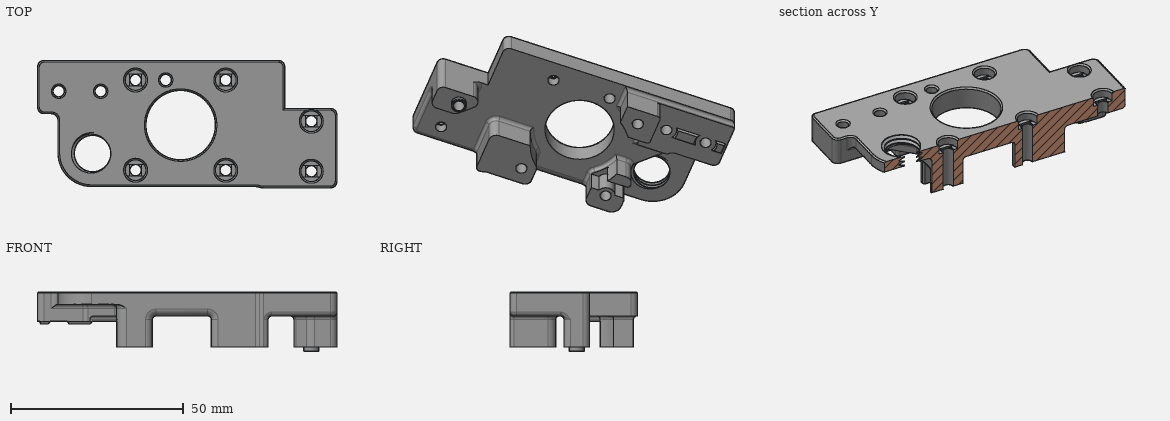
import cadquery as cq
import math

LENGTH = 86.7
WIDTH = 36.9
TOP_Z = 16.0
CEILING_Z = 9.0
FLAP_Z = 12.4
BLOCK_Z = 7.45
BELOW = -4.3
MARGIN = 8.7
OVERLAP = 0.1
TOLERANCE = 0.01

CORNER_R = 1.9
NOTCH_X = 71.6
NOTCH_Y = 23.05
BLOCK_FRONT_Y = 21.5
FLAP_X = 5.9
FLAP_R = 9.8
FRONT_Y = 0.39
JOG_START_X = 63.0
JOG_END_X = 65.35
EDGE_CHAMFER_HEIGHT = 0.5
EDGE_CHAMFER_WIDTH = 0.35

COVE_R = 1.0
FLAP_COVE_R = 1.2
LEG_LEFT_X = 22.9
LEG_LEFT_END_X = 33.3
LEG_RIGHT_X = 50.3
LEG_RIGHT_END_X = 66.7
FRONT_LEG_BACK_Y = 13.3
BACK_LEG_Y = 26.1
BACK_LEG_END_Y = 35.7
INNER_LEG_R = 2.25
BACK_LEG_R = 1.0
BLOCK_CAVITY_Y = 20.4
BLOCK_END_X = 24.4
FRONT_EDGE_R = 2.0
END_EDGE_R = 1.1
FLAP_SLANT_SUM = 35.5
FLAP_BEND_R = 2.0
LEG_CORNER_R = 2.95

FOOT_Y = 15.6
FOOT_SLANT_SUM = 94.4
FOOT_SMALL_R = 2.0
FOOT_LARGE_R = 3.2
PIN_D = 4.4
PIN_LENGTH = 1.3
PIN_CHAMFER = 0.3

BORE_X, BORE_Y = 41.4, 18.2
BORE_D = 20.0
BORE_CLEARANCE_R = 14.3
SCREW_PITCH = 26.1
HALF_PITCH = SCREW_PITCH / 2
END_SCREW_X = 79.2
END_SCREW_YS = (4.85, 19.3)
SCREW_D = 3.2
SCREW_RELIEF = 3.4
RELIEF_STEP = 0.3
SCREW_HEAD_D = 6.0
SCREW_HEAD_DEPTH = 2.8
PLAIN_D = 3.2
BLOCK_HOLE_XS = (6.15, 18.3)
BLOCK_HOLE_Y = 28.0
BACK_HOLE_X = 37.1
HOLE_CHAMFER = 0.48

THREAD_X, THREAD_Y = 15.95, 10.0
THREAD_MINOR_D = 10.5
THREAD_MAJOR_D = 12.2
THREAD_PITCH = 1.5
THREAD_FLANK_ANGLE = 30
THREAD_ROOT_WIDTH = THREAD_PITCH / 8
THREAD_TURNS = 5
THREAD_TURNS_TO_TOP = 3.5
DRILL_SEAM_ANGLE = 50

KEY_WIDTH = 3.5
KEY_TIP_WIDTH = 2.8
KEY_HEIGHT = 0.8
KEY_GAP_D = 6.0
KEY_START_X = 0.6

SLOT_Y = 6.2
SLOT_END_Y = 10.05
SLOT_TOP_Z = 7.5
SLOT_CHAMFER = 0.5
SLOT_MOUTH_R = 0.7
SLOT_POST_D = 5.5


def box(x0, x1, y0, y1, z0, z1):
    return cq.Workplane("XY").box(x1 - x0, y1 - y0, z1 - z0, centered=False).translate((x0, y0, z0))


def cylinder(x, y, diameter, z0, z1):
    return cq.Workplane("XY", origin=(x, y, z0)).circle(diameter / 2).extrude(z1 - z0)


def round_upright_edges(solid, radius, points):
    """Fillet the vertical edges that stand at the given (x, y) points."""
    def at_point(edge):
        c = edge.Center()
        return any(math.hypot(c.x - x, c.y - y) < TOLERANCE for x, y in points)
    edges = [e for e in solid.edges("|Z").vals() if at_point(e)]
    return solid.newObject(edges).fillet(radius)


def plate():
    arc_x = FLAP_X + FLAP_R
    arc_y = FRONT_Y + FLAP_R
    reach = FLAP_R * math.sqrt(0.5)
    jog_x = (JOG_START_X + JOG_END_X) / 2
    outline = (
        cq.Workplane("XY")
        .moveTo(0, WIDTH)
        .lineTo(NOTCH_X, WIDTH)
        .lineTo(NOTCH_X, NOTCH_Y)
        .lineTo(LENGTH, NOTCH_Y)
        .lineTo(LENGTH, 0)
        .lineTo(JOG_END_X, 0)
        .tangentArcPoint((jog_x, FRONT_Y / 2), relative=False)
        .tangentArcPoint((JOG_START_X, FRONT_Y), relative=False)
        .lineTo(arc_x, FRONT_Y)
        .threePointArc((arc_x - reach, arc_y - reach), (FLAP_X, arc_y))
        .lineTo(FLAP_X, BLOCK_FRONT_Y)
        .lineTo(0, BLOCK_FRONT_Y)
        .close()
    )
    body = outline.extrude(TOP_Z)
    rounded = [
        (0, WIDTH), (NOTCH_X, WIDTH), (LENGTH, NOTCH_Y), (LENGTH, 0),
        (FLAP_X, BLOCK_FRONT_Y), (0, BLOCK_FRONT_Y),
    ]
    body = round_upright_edges(body, CORNER_R, rounded)
    return body.faces(">Z").chamfer(EDGE_CHAMFER_WIDTH, EDGE_CHAMFER_HEIGHT)


def foot():
    slant_x = FOOT_SLANT_SUM - FOOT_Y
    tip_x = FOOT_SLANT_SUM - NOTCH_Y
    solid = (
        cq.Workplane("XY", origin=(0, 0, BELOW))
        .moveTo(tip_x, NOTCH_Y)
        .lineTo(slant_x, FOOT_Y)
        .lineTo(LENGTH, FOOT_Y)
        .lineTo(LENGTH, NOTCH_Y)
        .close()
        .extrude(CEILING_Z - BELOW)
    )
    solid = round_upright_edges(solid, CORNER_R, [(LENGTH, FOOT_Y)])
    solid = round_upright_edges(solid, FOOT_LARGE_R, [(slant_x, FOOT_Y)])
    return round_upright_edges(solid, FOOT_SMALL_R, [(tip_x, NOTCH_Y)])


def clearance_front_y(x):
    """Y of the front half of the round bore clearance at the given x."""
    return BORE_Y - math.sqrt(BORE_CLEARANCE_R**2 - (x - BORE_X) ** 2)


def leg_cavity():
    """Open space below the plate, flaring into a cove around everything left standing."""
    z = (BELOW, CEILING_Z)
    outside = 2 * MARGIN
    front_left = box(LEG_LEFT_X, LEG_LEFT_END_X, -outside, FRONT_LEG_BACK_Y, *z)
    front_left = round_upright_edges(front_left, INNER_LEG_R, [(LEG_LEFT_X, FRONT_LEG_BACK_Y)])
    front_right = box(LEG_RIGHT_X, LEG_RIGHT_END_X, -outside, FRONT_LEG_BACK_Y, *z)
    front_right = round_upright_edges(front_right, INNER_LEG_R, [(LEG_RIGHT_END_X, FRONT_LEG_BACK_Y)])
    block = box(-outside, BLOCK_END_X, BLOCK_CAVITY_Y, BACK_LEG_END_Y, *z)

    standing = front_left.union(front_right).union(back_left_leg()).union(block)
    standing = standing.cut(cylinder(BORE_X, BORE_Y, 2 * BORE_CLEARANCE_R, *z))
    inner_corners = [(x, clearance_front_y(x)) for x in (LEG_LEFT_END_X, LEG_RIGHT_X)]
    standing = round_upright_edges(standing, FRONT_EDGE_R, inner_corners).union(foot())
    cavity = box(-MARGIN, LENGTH + MARGIN, -MARGIN, WIDTH + MARGIN, *z).cut(standing)

    def is_wall_edge(edge):
        c = edge.Center()
        inside_x = -MARGIN + TOLERANCE < c.x < LENGTH + MARGIN - TOLERANCE
        inside_y = -MARGIN + TOLERANCE < c.y < WIDTH + MARGIN - TOLERANCE
        return inside_x and inside_y
    edges = [e for e in cavity.faces(">Z").edges().vals() if is_wall_edge(e)]
    return cavity.newObject(edges).fillet(COVE_R)


def back_left_leg():
    leg = box(LEG_LEFT_X, LEG_LEFT_END_X, BACK_LEG_Y, BACK_LEG_END_Y, BELOW, CEILING_Z)
    return round_upright_edges(leg, BACK_LEG_R, [(LEG_LEFT_X, BACK_LEG_Y), (LEG_LEFT_X, BACK_LEG_END_Y)])


def block_underside():
    """Space below the left block, up to the leg behind it."""
    space = box(-MARGIN, BLOCK_END_X, BLOCK_CAVITY_Y - OVERLAP, WIDTH, BELOW, BLOCK_Z)
    return space.cut(back_left_leg())


def flap_underside():
    """Space below the flap: block wall, 45 degree wall, then round the front-left leg."""
    solid = (
        cq.Workplane("XY", origin=(0, 0, BELOW))
        .moveTo(-MARGIN, BLOCK_FRONT_Y)
        .lineTo(FLAP_SLANT_SUM - BLOCK_FRONT_Y, BLOCK_FRONT_Y)
        .lineTo(LEG_LEFT_X, FLAP_SLANT_SUM - LEG_LEFT_X)
        .lineTo(LEG_LEFT_X, FRONT_Y + LEG_CORNER_R)
        .tangentArcPoint((LEG_LEFT_X + LEG_CORNER_R, FRONT_Y), relative=False)
        .lineTo(LEG_LEFT_X + LEG_CORNER_R, -MARGIN)
        .lineTo(-MARGIN, -MARGIN)
        .close()
        .extrude(FLAP_Z - BELOW)
    )
    bends = [(FLAP_SLANT_SUM - BLOCK_FRONT_Y, BLOCK_FRONT_Y), (LEG_LEFT_X, FLAP_SLANT_SUM - LEG_LEFT_X)]
    solid = round_upright_edges(solid, FLAP_BEND_R, bends)

    def is_wall_edge(edge):
        c = edge.Center()
        return c.x > -MARGIN + TOLERANCE and c.y > -MARGIN + TOLERANCE
    edges = [e for e in solid.faces(">Z").edges().vals() if is_wall_edge(e)]
    return solid.newObject(edges).fillet(FLAP_COVE_R)


def round_openings(body):
    """Round the outer edges of the front opening and of the right-end opening."""
    def below_plate(edge):
        return TOLERANCE < edge.Center().z < CEILING_Z + TOLERANCE

    def on_front(edge):
        b = edge.BoundingBox()
        between_legs = b.xmin > LEG_LEFT_END_X - TOLERANCE and b.xmax < LEG_RIGHT_X + TOLERANCE
        return between_legs and abs(b.ymax - FRONT_Y) < TOLERANCE

    def on_end(edge):
        b = edge.BoundingBox()
        front = b.ymax < TOLERANCE and b.xmin > LEG_RIGHT_END_X - TOLERANCE
        side = b.xmin > LENGTH - TOLERANCE and b.ymax < FOOT_Y + TOLERANCE
        corner = b.xmin > LENGTH - CORNER_R - TOLERANCE and b.ymax < CORNER_R + TOLERANCE
        return front or side or corner
    edges = [e for e in body.edges().vals() if below_plate(e)]
    body = body.newObject([e for e in edges if on_front(e)]).fillet(FRONT_EDGE_R)
    edges = [e for e in body.edges().vals() if below_plate(e)]
    return body.newObject([e for e in edges if on_end(e)]).fillet(END_EDGE_R)


def chamfered_hole(x, y, diameter, z0=BELOW):
    rim = diameter / 2 + HOLE_CHAMFER
    cone = cq.Solid.makeCone(
        diameter / 2, rim, HOLE_CHAMFER, pnt=cq.Vector(x, y, TOP_Z - HOLE_CHAMFER), dir=cq.Vector(0, 0, 1)
    )
    return cylinder(x, y, diameter, z0, TOP_Z).union(cq.Workplane(obj=cone))


def screw_hole(x, y):
    """Counterbored hole whose seat steps down to a strip, then a square, then the round hole."""
    seat_z = TOP_Z - SCREW_HEAD_DEPTH
    half = SCREW_RELIEF / 2
    head = chamfered_hole(x, y, SCREW_HEAD_D, seat_z)
    strip = cylinder(x, y, SCREW_HEAD_D, seat_z - RELIEF_STEP, seat_z).intersect(
        box(x - SCREW_HEAD_D, x + SCREW_HEAD_D, y - half, y + half, seat_z - RELIEF_STEP, seat_z)
    )
    square = box(x - half, x + half, y - half, y + half, seat_z - 2 * RELIEF_STEP, seat_z)
    return head.union(strip).union(square).union(cylinder(x, y, SCREW_D, BELOW, seat_z))


def threaded_hole():
    """Drill and right-hand V groove of the threaded hole, made at the origin and moved into place."""
    minor_r = THREAD_MINOR_D / 2
    major_r = THREAD_MAJOR_D / 2
    root_half = THREAD_ROOT_WIDTH / 2
    slope = math.tan(math.radians(THREAD_FLANK_ANGLE))
    inner_r = minor_r - OVERLAP
    inner_half = root_half + (major_r - inner_r) * slope
    profile = [(inner_r, -inner_half), (major_r, -root_half), (major_r, root_half), (inner_r, inner_half)]
    helix = cq.Workplane(obj=cq.Wire.makeHelix(THREAD_PITCH, THREAD_TURNS * THREAD_PITCH, minor_r))
    groove = cq.Workplane("XZ").polyline(profile).close().sweep(helix, isFrenet=True)
    start_z = TOP_Z - THREAD_TURNS_TO_TOP * THREAD_PITCH
    groove = groove.translate((THREAD_X, THREAD_Y, start_z))
    drill = cylinder(0, 0, THREAD_MINOR_D, BELOW, TOP_Z).rotate((0, 0, 0), (0, 0, 1), DRILL_SEAM_ANGLE)
    return drill.translate((THREAD_X, THREAD_Y, 0)), groove


def leg_slot():
    """Slot along X through the front-left leg, chamfered where it opens to the left."""
    middle_y = (SLOT_Y + SLOT_END_Y) / 2
    mouth_width = SLOT_END_Y - SLOT_Y + 2 * SLOT_CHAMFER
    mouth_height = SLOT_TOP_Z + SLOT_CHAMFER - BELOW
    mouth = (
        cq.Workplane("YZ", origin=(LEG_LEFT_X, middle_y, BELOW + mouth_height / 2))
        .rect(mouth_width, mouth_height)
        .extrude(SLOT_CHAMFER)
        .edges("|X")
        .fillet(SLOT_MOUTH_R)
        .faces(">X")
        .chamfer(SLOT_CHAMFER - TOLERANCE)
    )
    slot = box(LEG_LEFT_X, LEG_LEFT_END_X, SLOT_Y, SLOT_END_Y, BELOW, SLOT_TOP_Z)
    post = cylinder(BORE_X - HALF_PITCH, BORE_Y - HALF_PITCH, SLOT_POST_D, BELOW, SLOT_TOP_Z)
    return slot.cut(post).union(mouth)


def locating_key():
    """Tapered strip under the block, interrupted around the two block holes."""
    end_x = BLOCK_HOLE_XS[1]
    taper = (KEY_WIDTH - KEY_TIP_WIDTH) / 2
    base_z = BLOCK_Z - KEY_HEIGHT
    key = (
        cq.Workplane("XY", origin=((KEY_START_X + end_x) / 2, BLOCK_HOLE_Y, BLOCK_Z))
        .rect(end_x - KEY_START_X, KEY_WIDTH)
        .workplane(offset=-KEY_HEIGHT)
        .rect(end_x - KEY_START_X - 2 * taper, KEY_TIP_WIDTH)
        .loft()
    )
    for x in BLOCK_HOLE_XS:
        gap = cq.Solid.makeCone(
            KEY_GAP_D / 2 + taper, KEY_GAP_D / 2, KEY_HEIGHT, pnt=cq.Vector(x, BLOCK_HOLE_Y, base_z)
        )
        key = key.cut(cq.Workplane(obj=gap))
    return key


def foot_pin():
    pin = cylinder(END_SCREW_X, END_SCREW_YS[1], PIN_D, -PIN_LENGTH, CEILING_Z)
    return pin.faces("<Z").chamfer(PIN_CHAMFER)


result = plate().cut(leg_cavity())
result = round_openings(result)
result = result.cut(flap_underside()).cut(block_underside()).cut(leg_slot())
result = result.union(locating_key()).union(foot_pin())

screws = [(BORE_X + sx * HALF_PITCH, BORE_Y + sy * HALF_PITCH) for sx in (-1, 1) for sy in (-1, 1)]
screws += [(END_SCREW_X, y) for y in END_SCREW_YS]
for x, y in screws:
    result = result.cut(screw_hole(x, y))

plain_holes = [(x, BLOCK_HOLE_Y) for x in BLOCK_HOLE_XS] + [(BACK_HOLE_X, BORE_Y + HALF_PITCH)]
for x, y in plain_holes:
    result = result.cut(chamfered_hole(x, y, PLAIN_D))
result = result.cut(chamfered_hole(BORE_X, BORE_Y, BORE_D))
for cutter in threaded_hole():
    result = result.cut(cutter)